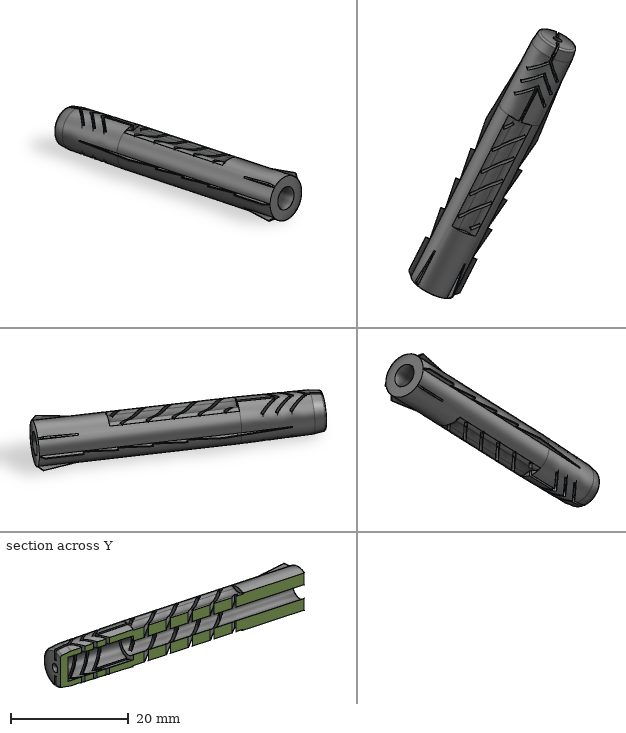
import cadquery as cq
import math

length = 50.0
body_radius = 4.0

nose_radius = 3.5
nose_rounding = 0.4
shoulder_x = 2.15
shoulder_radius = 3.8
taper_end_x = 14.9

pilot_radius = 1.6 / 2
front_bore_radius = 5.6 / 2
rear_bore_radius = 2.05
nose_wall = 1.6

centre_slot_width = 0.45
nose_slot_depth_radius = 1.55

chevron_count = 3
chevron_pitch = 2.5
chevron_apex_x = 2.9
chevron_half_height = 2.85
chevron_arm_angle = 41.5
chevron_width = 0.4

window_end_x = 37.4
window_half_width = 2.2
bump_radius = 1.3
bump_y = 1.55
bump_top_z = 3.5
groove_half_width = 1.0

oblique_angle = 40.0
oblique_width = 0.5
oblique_pitch = 4.5
oblique_count = 6
oblique_first_x = 15.0
oblique_half_height = 2.0
short_slot_inner_y = 0.8

fin_radius = 4.8
fin_peak_x = 49.15
side_fin_thickness = 0.2
side_fin_start_x = 5.3
side_fin_crest_x = 18.4
tooth_pitch = 6.0
tooth_count = 4
corner_fin_thickness = 0.3
corner_fin_start_x = 43.0
corner_fin_peak_x = 49.15
fin_root_radius = 3.5

cut_height = 2 * body_radius


def turned_body():
    """Solid of revolution with a rounded nose and a slight front taper."""
    body = (
        cq.Workplane("XY")
        .polyline([
            (0, 0),
            (0, nose_radius),
            (shoulder_x, shoulder_radius),
            (taper_end_x, body_radius),
            (length, body_radius),
            (length, 0),
        ])
        .close()
        .revolve(360, (0, 0, 0), (1, 0, 0))
    )
    return body.faces("<X").edges().fillet(nose_rounding)


def bore():
    """Pilot hole in the nose, wide front bore and narrower rear bore."""
    return (
        cq.Workplane("XY")
        .polyline([
            (0, 0),
            (0, pilot_radius),
            (nose_wall, pilot_radius),
            (nose_wall, front_bore_radius),
            (taper_end_x, front_bore_radius),
            (taper_end_x, rear_bore_radius),
            (length, rear_bore_radius),
            (length, 0),
        ])
        .close()
        .revolve(360, (0, 0, 0), (1, 0, 0))
    )


def window():
    """Cutter for the top window; its floor is a groove between two tangent bumps."""
    bump_z = bump_top_z - bump_radius
    tangent_angle = math.asin((bump_y - groove_half_width) / bump_radius)
    tangent_z = bump_z + bump_radius * math.cos(tangent_angle)
    groove_radius = groove_half_width / math.sin(tangent_angle)
    groove_z = tangent_z - groove_radius * (1 - math.cos(tangent_angle))
    edge_z = bump_z + math.sqrt(bump_radius**2 - (window_half_width - bump_y)**2)
    return (
        cq.Workplane("YZ", origin=(taper_end_x, 0, 0))
        .moveTo(-window_half_width, cut_height)
        .lineTo(-window_half_width, edge_z)
        .threePointArc((-bump_y, bump_top_z), (-groove_half_width, tangent_z))
        .threePointArc((0, groove_z), (groove_half_width, tangent_z))
        .threePointArc((bump_y, bump_top_z), (window_half_width, edge_z))
        .lineTo(window_half_width, cut_height)
        .close()
        .extrude(window_end_x - taper_end_x)
    )


def straight_slot(start, end, width):
    """Square-ended slot cutter between two XY points, running right through in Z."""
    dx = end[0] - start[0]
    dy = end[1] - start[1]
    return (
        cq.Workplane("XY")
        .box(math.hypot(dx, dy), width, 2 * cut_height)
        .rotate((0, 0, 0), (0, 0, 1), math.degrees(math.atan2(dy, dx)))
        .translate(((start[0] + end[0]) / 2, (start[1] + end[1]) / 2, 0))
    )


def chevron(apex_x):
    """V-shaped slot cutter with its apex towards the nose."""
    angle = math.radians(chevron_arm_angle)
    tip_x = apex_x + chevron_half_height / math.tan(angle)
    half_width_x = chevron_width / 2 * math.sin(angle)
    half_width_y = chevron_width / 2 * math.cos(angle)
    apex_offset = chevron_width / 2 / math.sin(angle)
    upper = (
        cq.Workplane("XY")
        .polyline([
            (apex_x - apex_offset, 0),
            (tip_x - half_width_x, chevron_half_height + half_width_y),
            (tip_x + half_width_x, chevron_half_height - half_width_y),
            (apex_x + apex_offset, 0),
        ])
        .close()
        .extrude(cut_height, both=True)
    )
    return upper.union(upper.mirror("XZ"))


def oblique_slot(index):
    """Slanted window slot; the first and last ones are shortened."""
    low_y = -oblique_half_height
    high_y = oblique_half_height
    if index == 0:
        low_y = short_slot_inner_y
    if index == oblique_count - 1:
        high_y = -short_slot_inner_y
    middle_x = oblique_first_x + index * oblique_pitch
    run_per_y = 1 / math.tan(math.radians(oblique_angle))
    start = (middle_x + low_y * run_per_y, low_y)
    end = (middle_x + high_y * run_per_y, high_y)
    return straight_slot(start, end, oblique_width)


def fin(outline, thickness, angle):
    """Thin radial plate from an (x, radius) outline, turned about X from +Y."""
    start_x = outline[0][0]
    return (
        cq.Workplane("XY")
        .polyline([(start_x, fin_root_radius)] + outline + [(length, fin_root_radius)])
        .close()
        .extrude(thickness / 2, both=True)
        .rotate((0, 0, 0), (1, 0, 0), angle)
    )


def side_fin_outline():
    """Ramp up from the front taper followed by saw teeth that face the rear."""
    outline = [(side_fin_start_x, shoulder_radius), (side_fin_crest_x, fin_radius)]
    for tooth in range(1, tooth_count + 1):
        step_x = side_fin_crest_x + tooth * tooth_pitch
        outline += [(step_x, body_radius), (step_x, fin_radius)]
    return outline + [(fin_peak_x, fin_radius), (length, body_radius)]


def centre_half_slot(start_x, end_x):
    """Cutter for the upper half of the centre slot, down to the nose slot depth."""
    rise = cut_height - nose_slot_depth_radius
    return (
        cq.Workplane("XY")
        .box(end_x - start_x, centre_slot_width, rise, centered=(False, True, False))
        .translate((start_x, 0, nose_slot_depth_radius))
    )


corner_fin_outline = [
    (corner_fin_start_x, body_radius),
    (corner_fin_peak_x, fin_radius),
    (length, body_radius),
]

result = turned_body()

for angle in (0, 180):
    result = result.union(fin(side_fin_outline(), side_fin_thickness, angle))
for angle in (45, 135, 225, 315):
    result = result.union(fin(corner_fin_outline, corner_fin_thickness, angle))

result = result.cut(bore())
result = result.cut(window()).cut(window().mirror("XY"))

last_apex_x = chevron_apex_x + (chevron_count - 1) * chevron_pitch
for start_x, end_x in ((0, chevron_apex_x), (last_apex_x, taper_end_x)):
    half_slot = centre_half_slot(start_x, end_x)
    result = result.cut(half_slot).cut(half_slot.mirror("XY"))

for index in range(chevron_count):
    result = result.cut(chevron(chevron_apex_x + index * chevron_pitch))
for index in range(oblique_count):
    result = result.cut(oblique_slot(index))